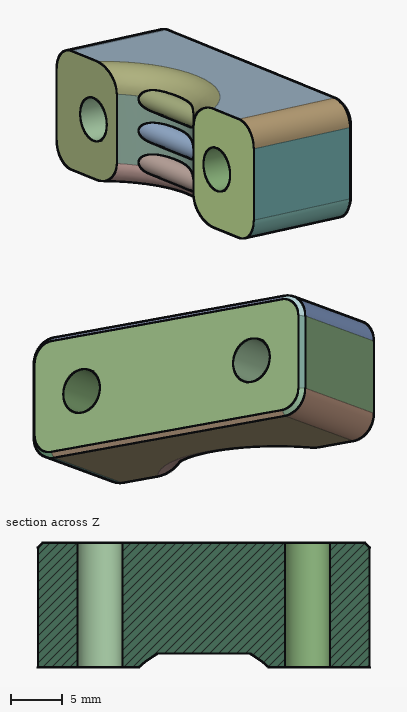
import cadquery as cq
import math

length = 32.0
depth = 12.0
height = 12.0
corner_radius = 2.4
back_chamfer = 0.48

hole_diameter = 4.32
hole_spacing = 20.0

saddle_radius = 9.0
saddle_axis_offset = 6.5
saddle_edge_radius = 2.5
saddle_depth = saddle_radius - saddle_axis_offset

rib_count = 3
rib_pitch = 3.2
rib_radius = 1.2
rib_crest_y = saddle_depth - rib_radius
rib_length = 2 * math.sqrt(saddle_radius**2 - (saddle_axis_offset + rib_crest_y) ** 2)
rib_root_depth = 0.95


def make_block():
    block = cq.Workplane("XY").box(length, depth, height).translate((0, depth / 2, 0))
    return block.edges("|Y").fillet(corner_radius).faces(">Y").chamfer(back_chamfer)


def make_saddle_cutter():
    """Solid of revolution whose rim flares outward at the top and bottom faces."""
    half_height = height / 2
    flare_start = half_height - saddle_edge_radius
    flare_rim = saddle_radius + saddle_edge_radius
    flare_mid_radius = flare_rim - saddle_edge_radius * math.cos(math.pi / 4)
    flare_mid_z = flare_start + saddle_edge_radius * math.sin(math.pi / 4)
    profile = (
        cq.Workplane("XZ")
        .moveTo(0, -half_height)
        .lineTo(flare_rim, -half_height)
        .threePointArc((flare_mid_radius, -flare_mid_z), (saddle_radius, -flare_start))
        .lineTo(saddle_radius, flare_start)
        .threePointArc((flare_mid_radius, flare_mid_z), (flare_rim, half_height))
        .lineTo(0, half_height)
        .close()
    )
    cutter = profile.revolve(360, (0, 0, 0), (0, 1, 0))
    return cutter.translate((0, -saddle_axis_offset, 0))


def make_rib(z):
    """Round-crested bar along X, with a flat-sided root sunk into the saddle floor."""
    bar = cq.Workplane("YZ").center(saddle_depth, z).circle(rib_radius).extrude(rib_length / 2, both=True)
    root = cq.Workplane("XY").box(rib_length, rib_root_depth, 2 * rib_radius)
    return bar.union(root.translate((0, saddle_depth + rib_root_depth / 2, z)))


holes = (
    cq.Workplane("XZ")
    .pushPoints([(-hole_spacing / 2, 0), (hole_spacing / 2, 0)])
    .circle(hole_diameter / 2)
    .extrude(-depth)
)

result = make_block().cut(make_saddle_cutter()).cut(holes)
for index in range(rib_count):
    rib_z = (index - (rib_count - 1) / 2) * rib_pitch
    result = result.union(make_rib(rib_z))